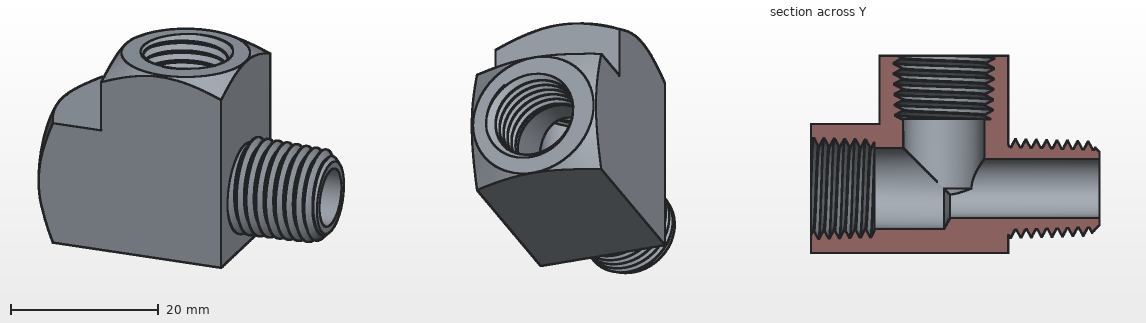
import cadquery as cq
import math

total_length = 39.07
body_size = 26.72
body_width = 17.97
arm_size = 17.45
arm_step = body_size - arm_size
run_height = arm_size / 2
branch_x = arm_step + arm_size / 2
male_length = total_length - body_size

port_face_radius = 8.7
corner_clearance = 0.4
corner_radius = math.hypot(arm_size, body_width) / 2 + corner_clearance
chamfer_angle = math.radians(30)

pitch = 1.4
thread_depth = 1.1
crest_width = 0.08
ridge_base_width = 1.35
root_overlap = 0.1
taper_slope = 1 / 32

female_minor_radius = 5.75
female_thread_length = 8.6
female_start = -pitch
bore_radius = 5.47
drill_point_angle = math.radians(120)
passage_diameter = 7.97
male_root_radius = 5.63
male_first_crest = 0.98
male_start = male_first_crest - 2 * pitch
male_tip_radius = 4.95


def revolve_profile(points):
    """Solid of revolution about Z from (radius, height) points."""
    profile = cq.Workplane("XZ").polyline(points).close()
    return profile.revolve(360, (0, 0, 0), (0, 1, 0))


def tapered_thread(root_radius, start, length):
    """Right-hand thread narrowing along +Z; its crest passes +X at the start height."""
    end = length + pitch
    start_radius = root_radius - start * taper_slope
    end_radius = root_radius - end * taper_slope
    core = revolve_profile([(0, start), (start_radius, start), (end_radius, end), (0, end)])

    taper_degrees = -math.degrees(math.atan(taper_slope))
    path = cq.Wire.makeHelix(pitch, end - start, start_radius, angle=taper_degrees)
    inner = start_radius - root_overlap
    outer = start_radius + thread_depth
    ridge = (
        cq.Workplane("XZ")
        .polyline([
            (inner, -ridge_base_width / 2),
            (outer, -crest_width / 2),
            (outer, crest_width / 2),
            (inner, ridge_base_width / 2),
        ])
        .close()
        .sweep(cq.Workplane(path), isFrenet=True)
        .translate((0, 0, start))
    )
    return core.union(ridge)


def place(shape, plane):
    """Move a shape from local axes to the axes of a plane."""
    return cq.Workplane(shape.val().moved(cq.Location(plane)))


def make_body():
    outline = [
        (0, 0),
        (body_size, 0),
        (body_size, body_size),
        (arm_step, body_size),
        (arm_step, arm_size),
        (0, arm_size),
    ]
    return cq.Workplane("XZ").polyline(outline).close().extrude(body_width / 2, both=True)


def port_chamfer():
    """Ring-shaped cutter that slopes the corners around a port face at height zero."""
    drop = (corner_radius - port_face_radius) * math.tan(chamfer_angle)
    return revolve_profile([(port_face_radius, 0), (corner_radius, 0), (corner_radius, drop)])


def port_bore(depth):
    """Smooth bore ending in a drill point."""
    point_depth = bore_radius / math.tan(drill_point_angle / 2)
    return revolve_profile([(0, 0), (bore_radius, 0), (bore_radius, depth), (0, depth + point_depth)])


def female_thread():
    limits = cq.Workplane("XY").circle(port_face_radius).extrude(female_thread_length)
    return tapered_thread(female_minor_radius, female_start, female_thread_length).intersect(limits)


def male_end():
    """Threaded end with a 45-degree chamfer at its tip."""
    outer_radius = male_root_radius + 2 * thread_depth
    chamfer_start = male_length - (outer_radius - male_tip_radius)
    limits = revolve_profile(
        [
            (0, 0),
            (outer_radius, 0),
            (outer_radius, chamfer_start),
            (male_tip_radius, male_length),
            (0, male_length),
        ]
    )
    return tapered_thread(male_root_radius, male_start, male_length).intersect(limits)


run_port = cq.Plane(origin=(0, 0, run_height), xDir=(0, 1, 0), normal=(1, 0, 0))
branch_port = cq.Plane(origin=(branch_x, 0, body_size), xDir=(0, 1, 0), normal=(0, 0, -1))
male_face = cq.Plane(origin=(body_size, 0, run_height), xDir=(0, 0, 1), normal=(1, 0, 0))

result = make_body()
for port in (run_port, branch_port):
    result = result.cut(place(port_chamfer(), port))
result = result.union(place(male_end(), male_face))

for port, depth in ((run_port, branch_x), (branch_port, body_size - run_height)):
    result = result.cut(place(port_bore(depth), port))
    result = result.cut(place(female_thread(), port))

passage = cq.Workplane("XY").circle(passage_diameter / 2).extrude(total_length)
result = result.cut(place(passage, run_port))